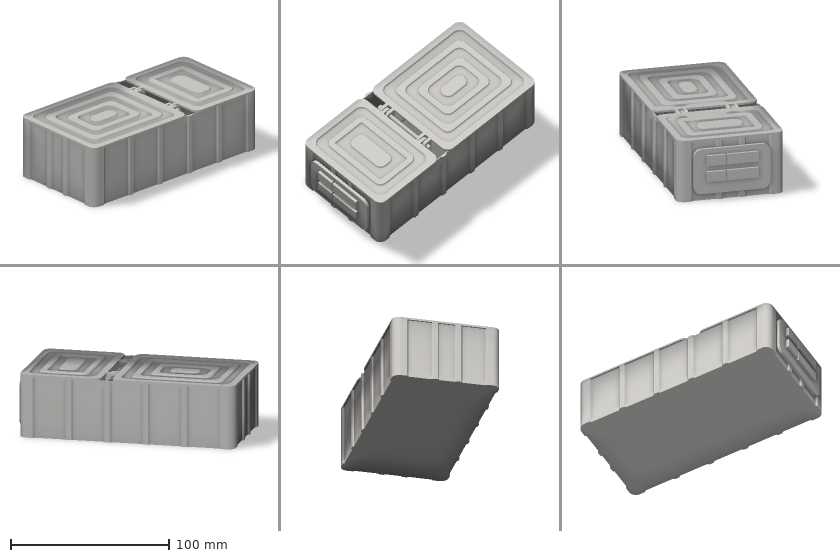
import cadquery as cq

width = 70.0
box_length = 140.0
total_height = 41.0
corner_radius = 5.0
lid_thickness = 1.3
wall_height = total_height - lid_thickness
panel_depth = 1.0
wall_thickness = 1.6
floor_thickness = 2.0

rib_width = 5.0
panel_slope = 1.0
side_panel_width = 20.0
side_panel_count = 5
side_panel_pitch = side_panel_width + rib_width
end_middle_panel_width = 10.1
end_outer_panel_width = 15.0
end_outer_panel_x = end_middle_panel_width / 2 + rib_width + end_outer_panel_width / 2

channel_width = 10.0
channel_pitch = 2 * channel_width
channel_count = 3
channel_depth = 1.0
channel_slope = 0.9

hinge_gap = 7.0
front_lid_length = 80.0
back_lid_length = box_length - hinge_gap - front_lid_length
steps_to_centre = 7
ring_step = width / 2 / steps_to_centre
ring_radius = 4.9
ring_depth = 0.9
ring_slope = 0.6
front_ring_count = 3

pin_diameter = 2.6
bore_diameter = 3.0
head_diameter = 4.2
head_length = 2.3
knuckle_radius = hinge_gap / 2
knuckle_width = 2.2
knuckle_pitch = 2.7
knuckle_group_x = 16.5
hinge_y = box_length / 2 - back_lid_length - hinge_gap / 2
hinge_z = total_height - knuckle_radius
pin_seat_x = knuckle_group_x + knuckle_pitch + knuckle_width / 2
pin_end_x = pin_seat_x + head_length

plate_width = 50.1
plate_height = 30.0
plate_thickness = 2.0
plate_radius = 5.0
plate_z = 20.0
bar_span = 33.8
bar_height = 6.8
overall_length = 144
bar_thickness = overall_length - box_length - plate_thickness
lower_bar_z = 16.8
upper_bar_z = 27.5
bar_gap = 0.9
bar_gap_x = 4.3


def rounded_block(size_x, size_y, height, radius):
    """Block standing on z = 0, with rounded vertical edges."""
    block = cq.Workplane("XY").box(size_x, size_y, height, centered=(True, True, False))
    return block.edges("|Z").fillet(radius)


def trapezoid_bar(base_width, top_width, height, length):
    """Bar extruded along +Z, with one parallel side on y = 0 and the other on y = height."""
    outline = [
        (-base_width / 2, 0),
        (base_width / 2, 0),
        (top_width / 2, height),
        (-top_width / 2, height),
    ]
    return cq.Workplane("XY").polyline(outline).close().extrude(length)


def wall_panel(floor_width):
    """Cutter for one full-height wall panel, going into the wall along +Y."""
    return trapezoid_bar(floor_width + 2 * panel_slope, floor_width, panel_depth, wall_height)


def cut_wall_panels(box):
    for turn in (0, 180):
        for x, panel_width in (
            (-end_outer_panel_x, end_outer_panel_width),
            (0, end_middle_panel_width),
            (end_outer_panel_x, end_outer_panel_width),
        ):
            panel = wall_panel(panel_width).translate((x, -box_length / 2, 0))
            box = box.cut(panel.rotate((0, 0, 0), (0, 0, 1), turn))
    for turn in (90, -90):
        for index in range(side_panel_count):
            along = (index - (side_panel_count - 1) / 2) * side_panel_pitch
            panel = wall_panel(side_panel_width).translate((along, -width / 2, 0))
            box = box.cut(panel.rotate((0, 0, 0), (0, 0, 1), turn))
    return box


def cut_floor_channels(box, inner_length):
    channel = trapezoid_bar(channel_width - 2 * channel_slope, channel_width, channel_depth, inner_length)
    channel = channel.rotate((0, 0, 0), (1, 0, 0), 90)
    for index in range(channel_count):
        x = (index - (channel_count - 1) / 2) * channel_pitch
        box = box.cut(channel.translate((x, inner_length / 2, floor_thickness - channel_depth)))
    return box


def make_box():
    box = cut_wall_panels(rounded_block(width, box_length, wall_height, corner_radius))
    inner_length = box_length - 2 * wall_thickness
    cavity = rounded_block(
        width - 2 * wall_thickness, inner_length, wall_height, corner_radius - wall_thickness
    ).translate((0, 0, floor_thickness))
    return cut_floor_channels(box.cut(cavity), inner_length)


def lid_block(length, floor_inset, floor_radius, slope):
    """Block from a groove's floor to the lid's top, widening upward if the slope is positive."""
    block = cq.Workplane("XY").workplane(offset=lid_thickness - ring_depth)
    floor = cq.Sketch().rect(width - 2 * floor_inset, length - 2 * floor_inset)
    top_inset = floor_inset - slope
    top = cq.Sketch().rect(width - 2 * top_inset, length - 2 * top_inset)
    if floor_radius > 0:
        floor = floor.vertices().fillet(floor_radius)
        top = top.vertices().fillet(floor_radius + slope)
    top = top.moved(cq.Location(cq.Vector(0, 0, ring_depth)))
    return block.placeSketch(floor, top).loft()


def lid_plate(length, outer_radii):
    """Lid standing on z = 0, with one concentric groove per corner radius of a groove's outer edge."""
    lid = rounded_block(width, length, lid_thickness, corner_radius)
    for index, outer_radius in enumerate(outer_radii):
        outer_inset = (2 * index + 1) * ring_step
        pocket = lid_block(length, outer_inset, outer_radius, ring_slope)
        island = lid_block(length, outer_inset + ring_step, ring_radius, -ring_slope)
        lid = lid.cut(pocket.cut(island))
    return lid


def knuckle(x, direction):
    """Hinge knuckle on the pin's axis, with a lug reaching to the lid in the given Y direction."""
    barrel = cq.Workplane("YZ").circle(knuckle_radius).extrude(knuckle_width)
    lug = cq.Workplane("YZ").rect(hinge_gap / 2, 2 * knuckle_radius).extrude(knuckle_width)
    lug = lug.translate((0, direction * hinge_gap / 4, 0))
    bore = cq.Workplane("YZ").circle(bore_diameter / 2).extrude(knuckle_width)
    return barrel.union(lug).cut(bore).translate((x - knuckle_width / 2, hinge_y, hinge_z))


def make_front_lid():
    lid = lid_plate(front_lid_length, [ring_radius] * front_ring_count)
    lid = lid.translate((0, (front_lid_length - box_length) / 2, wall_height))
    for group_x in (-knuckle_group_x, knuckle_group_x):
        for offset in (-knuckle_pitch, knuckle_pitch):
            lid = lid.union(knuckle(group_x + offset, -1))
    return lid


def make_back_lid():
    lid = lid_plate(back_lid_length, [ring_radius, 0])
    lid = lid.translate((0, (box_length - back_lid_length) / 2, wall_height))
    for group_x in (-knuckle_group_x, knuckle_group_x):
        lid = lid.union(knuckle(group_x, 1))
    return lid


def make_hinge_pin():
    shank = cq.Workplane("YZ").circle(pin_diameter / 2).extrude(pin_end_x + pin_seat_x)
    shank = shank.translate((-pin_end_x, 0, 0))
    head = cq.Workplane("YZ").circle(head_diameter / 2).extrude(head_length).translate((pin_seat_x, 0, 0))
    return shank.union(head).translate((0, hinge_y, hinge_z))


def make_name_plate():
    plate = (
        cq.Workplane("XY")
        .box(plate_width, plate_thickness, plate_height)
        .edges("|Y")
        .fillet(plate_radius)
        .translate((0, (box_length + plate_thickness) / 2, plate_z))
    )
    bar_y = box_length / 2 + plate_thickness + bar_thickness / 2
    gap = cq.Workplane("XY").box(bar_gap, bar_thickness, bar_height).translate((bar_gap_x, 0, 0))
    bar = cq.Workplane("XY").box(bar_span, bar_thickness, bar_height).cut(gap)
    for bar_z in (lower_bar_z, upper_bar_z):
        plate = plate.union(bar.translate((0, bar_y, bar_z)))
    return plate


box = make_box()
front_lid = make_front_lid()
back_lid = make_back_lid()
hinge_pin = make_hinge_pin()
name_plate = make_name_plate()

result = cq.Compound.makeCompound(
    [box.val(), front_lid.val(), back_lid.val(), hinge_pin.val(), name_plate.val()]
)